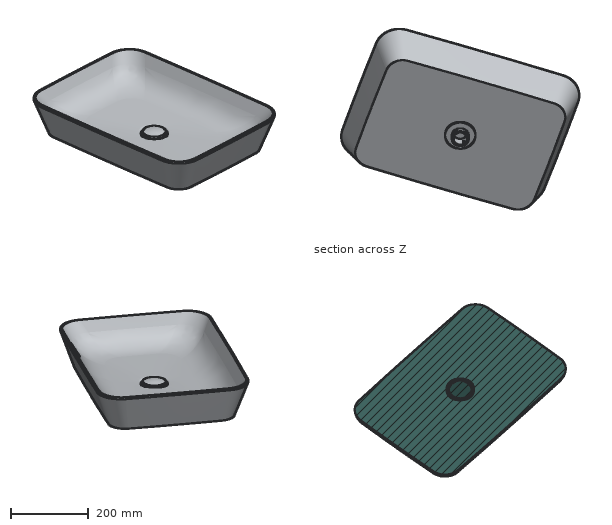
import cadquery as cq
import math

LENGTH = 550.0
WIDTH = 400.0
OVERALL_HEIGHT = 119.0
BASIN_HEIGHT = 100.0
TAPER_INSET = 32.5
SIDE_BOW = 2.0
RIM_CORNER_RADIUS = 63.0
FOOT_CORNER_RADIUS = 44.0
RIM_WIDTH = 5.0
RIM_BAND_HEIGHT = 4.0
RIM_ROUND = 3.5

FLOOR_Z = 27.0
FLOOR_HALF_LENGTH = 175.0
FLOOR_HALF_WIDTH = 101.0
FLOOR_CORNER_RADIUS = 49.5
FLANK_HALF_LENGTH = 253.0
FLANK_HALF_WIDTH = 177.0
FLANK_CORNER_RADIUS = 60.5
FLANK_TOP_Z = 70.0
FLANK_SWEEP = math.radians(65)
FLANK_SECTION_COUNT = 6

OPENING_RADIUS = 34.5
LIP_RADIUS = 40.0
LIP_Z = 23.0
LIP_ROUND = LIP_RADIUS - OPENING_RADIUS
CUP_TOP_Z = LIP_Z - LIP_ROUND

CUP_BORE_RADIUS = 32.0
CUP_SEAT_Z = 11.0
FLANGE_RADIUS = 39.0
FLANGE_THICKNESS = 4.0
TUBE_RADIUS = 22.0
TUBE_BORE_RADIUS = 18.0
TUBE_BOTTOM_Z = BASIN_HEIGHT - OVERALL_HEIGHT
SLOT_COUNT = 4
SLOT_WIDTH = 3.0
SLOT_BOTTOM_Z = -14.0

CAP_RADIUS = 29.5
CAP_EDGE_Z = 25.0
CAP_DOME_RISE = 4.5


def bowed_outline(half_length, half_width, corner_radius, z):
    """Wire of four bowed sides and four rounded corners; the half sizes reach the crowns."""
    x = half_length - SIDE_BOW
    y = half_width - SIDE_BOW
    corners = [cq.Vector(x, -y, z), cq.Vector(x, y, z), cq.Vector(-x, y, z), cq.Vector(-x, -y, z)]
    crowns = [
        cq.Vector(half_length, 0, z),
        cq.Vector(0, half_width, z),
        cq.Vector(-half_length, 0, z),
        cq.Vector(0, -half_width, z),
    ]
    sides = [cq.Edge.makeThreePointArc(corners[i], crowns[i], corners[(i + 1) % 4]) for i in range(4)]
    sharp_outline = cq.Wire.assembleEdges(sides)
    return sharp_outline.fillet2D(corner_radius, sharp_outline.Vertices())


def loft(outlines, ruled):
    return cq.Workplane(cq.Solid.makeLoft(outlines, ruled))


def disc(radius, bottom_z, top_z):
    return cq.Workplane().workplane(offset=bottom_z).circle(radius).extrude(top_z - bottom_z)


def make_shell():
    """Solid tub: tapered wall, then an upright band with a rounded top edge."""
    def rim_at(z):
        return bowed_outline(LENGTH / 2, WIDTH / 2, RIM_CORNER_RADIUS, z)

    foot = bowed_outline(LENGTH / 2 - TAPER_INSET, WIDTH / 2 - TAPER_INSET, FOOT_CORNER_RADIUS, 0)
    tub = loft([foot, rim_at(BASIN_HEIGHT - RIM_BAND_HEIGHT), rim_at(BASIN_HEIGHT)], True)
    return tub.faces(">Z").edges().fillet(RIM_ROUND)


def flank_outline(angle):
    """Bowl outline at this angle along the flank, which is part of an ellipse in section."""
    outward = math.sin(angle) / math.sin(FLANK_SWEEP)
    upward = (1 - math.cos(angle)) / (1 - math.cos(FLANK_SWEEP))
    return bowed_outline(
        FLOOR_HALF_LENGTH + outward * (FLANK_HALF_LENGTH - FLOOR_HALF_LENGTH),
        FLOOR_HALF_WIDTH + outward * (FLANK_HALF_WIDTH - FLOOR_HALF_WIDTH),
        FLOOR_CORNER_RADIUS + outward * (FLANK_CORNER_RADIUS - FLOOR_CORNER_RADIUS),
        FLOOR_Z + upward * (FLANK_TOP_Z - FLOOR_Z),
    )


def lip_outline(floor_outline):
    """Lip circle split into arcs, one point on the ray to each corner of the floor outline."""
    angles = []
    for edge in floor_outline.Edges():
        start = edge.startPoint()
        angles.append(math.atan2(start.y, start.x) % (2 * math.pi))
    angles.sort()

    def lip_point(angle):
        return cq.Vector(LIP_RADIUS * math.cos(angle), LIP_RADIUS * math.sin(angle), LIP_Z)

    arcs = []
    for start, end in zip(angles, angles[1:] + [angles[0] + 2 * math.pi]):
        arcs.append(
            cq.Edge.makeThreePointArc(lip_point(start), lip_point((start + end) / 2), lip_point(end))
        )
    return cq.Wire.assembleEdges(arcs)


def make_opening():
    """Revolved cutter for the drain opening, with the quarter-round lip at its top."""
    arc_reach = LIP_ROUND * math.sqrt(0.5)
    arc_middle = (LIP_RADIUS - arc_reach, CUP_TOP_Z + arc_reach)
    return (
        cq.Workplane("XZ")
        .lineTo(OPENING_RADIUS, 0)
        .lineTo(OPENING_RADIUS, CUP_TOP_Z)
        .threePointArc(arc_middle, (LIP_RADIUS, LIP_Z))
        .lineTo(0, LIP_Z)
        .close()
        .revolve(360, (0, 0, 0), (0, 1, 0))
    )


def make_basin():
    """Tub hollowed by the upper wall, flank and floor of the bowl, and pierced for the drain."""
    last = FLANK_SECTION_COUNT - 1
    flank_outlines = [flank_outline(FLANK_SWEEP * i / last) for i in range(last + 1)]
    rim_opening = bowed_outline(
        LENGTH / 2 - RIM_WIDTH, WIDTH / 2 - RIM_WIDTH, RIM_CORNER_RADIUS - RIM_WIDTH, BASIN_HEIGHT
    )
    upper_wall = loft([flank_outlines[-1], rim_opening], True)
    flank = loft(flank_outlines, False)
    floor = loft([lip_outline(flank_outlines[0]), flank_outlines[0]], True)

    return make_shell().cut(upper_wall).cut(flank).cut(floor).cut(make_opening())


def make_drain():
    """Stepped fitting, bored through, with upright slots spaced evenly around its tube."""
    drain = disc(OPENING_RADIUS, 0, CUP_TOP_Z)
    drain = drain.union(disc(FLANGE_RADIUS, -FLANGE_THICKNESS, 0))
    drain = drain.union(disc(TUBE_RADIUS, TUBE_BOTTOM_Z, 0))
    drain = drain.cut(disc(TUBE_BORE_RADIUS, TUBE_BOTTOM_Z, CUP_SEAT_Z))
    drain = drain.cut(disc(CUP_BORE_RADIUS, CUP_SEAT_Z, CUP_TOP_Z))
    slot_top_z = -FLANGE_THICKNESS
    for i in range(SLOT_COUNT):
        slot = (
            cq.Workplane()
            .workplane(offset=SLOT_BOTTOM_Z)
            .center(TUBE_RADIUS, 0)
            .rect(TUBE_RADIUS, SLOT_WIDTH)
            .extrude(slot_top_z - SLOT_BOTTOM_Z)
        )
        drain = drain.cut(slot.rotate((0, 0, 0), (0, 0, 1), (i + 0.5) * 360 / SLOT_COUNT))
    return drain


def make_cap():
    """Disc with a spherical dome, revolved about the Z axis."""
    dome_radius = (CAP_RADIUS**2 + CAP_DOME_RISE**2) / (2 * CAP_DOME_RISE)
    half_angle = math.asin(CAP_RADIUS / dome_radius) / 2
    dome_top_z = CAP_EDGE_Z + CAP_DOME_RISE
    dome_middle = (
        dome_radius * math.sin(half_angle),
        dome_top_z - dome_radius * (1 - math.cos(half_angle)),
    )
    return (
        cq.Workplane("XZ")
        .moveTo(0, CUP_SEAT_Z)
        .lineTo(CAP_RADIUS, CUP_SEAT_Z)
        .lineTo(CAP_RADIUS, CAP_EDGE_Z)
        .threePointArc(dome_middle, (0, dome_top_z))
        .close()
        .revolve(360, (0, 0, 0), (0, 1, 0))
    )


basin = make_basin()
drain = make_drain()
cap = make_cap()

result = cq.Compound.makeCompound([basin.solids().val(), drain.solids().val(), cap.val()])